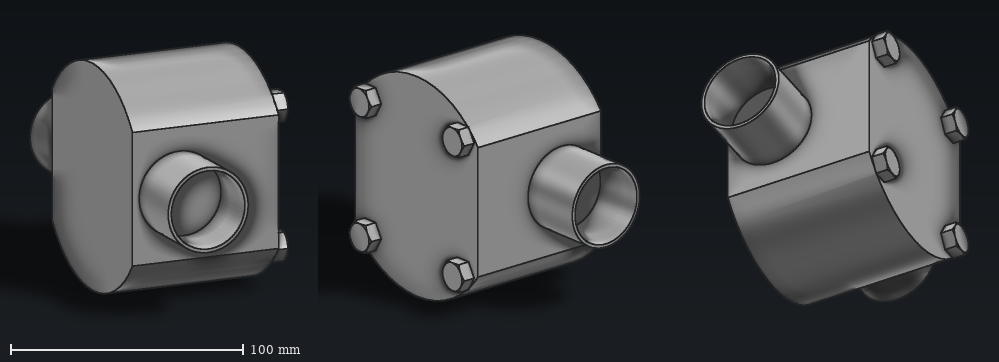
import cadquery as cq
import math

total_length = 141.2
body_width = 82.0
body_diameter = 101.4
front_depth = 44.6
cover_depth = 24.7
axis_to_front = 22.2
pipe_diameter = 38.0
bore_diameter = 34.9
stub_length = 5.1
bolt_offset = 31.0
bolt_across_flats = 12.9
bolt_head_height = 6.1
bolt_chamfer_angle = 30

front_y = -axis_to_front
cover_back_y = front_y + front_depth + cover_depth
bolt_across_corners = bolt_across_flats / math.cos(math.pi / 6)
bolt_chamfer_width = (bolt_across_corners - bolt_across_flats) / 2
bolt_chamfer_height = bolt_chamfer_width * math.tan(math.radians(bolt_chamfer_angle))
pipe_length = (total_length - body_width) / 2 - stub_length


def make_slice(start_y, depth):
    """Round disc along +Y, trimmed by two flats facing +X and -X."""
    plane = cq.Workplane("XZ", origin=(0, start_y, 0))
    disc = plane.circle(body_diameter / 2).extrude(-depth)
    trim = plane.rect(body_width, body_diameter * 2).extrude(-depth)
    return disc.intersect(trim)


def make_connection(side):
    """Solid stub on the body flat followed by an open pipe; side is +1 or -1."""
    face = cq.Workplane("YZ", origin=(side * body_width / 2, 0, 0))
    stub = face.circle(pipe_diameter / 2).extrude(side * stub_length)
    pipe = (
        face.workplane(offset=side * stub_length)
        .circle(pipe_diameter / 2)
        .circle(bore_diameter / 2)
        .extrude(side * pipe_length)
    )
    return stub.union(pipe)


def make_bolt_head(x, z):
    """Hexagonal head on the cover: two corners along X, outer corners cut by a cone."""
    seat = cq.Workplane("XZ", origin=(x, cover_back_y, z))
    head = seat.polygon(6, bolt_across_corners).extrude(-bolt_head_height)
    cone = (
        seat.circle(bolt_across_corners / 2)
        .extrude(-bolt_head_height)
        .faces(">Y")
        .chamfer(bolt_chamfer_height, bolt_chamfer_width)
    )
    return head.intersect(cone)


result = make_slice(front_y, front_depth).union(make_slice(front_y + front_depth, cover_depth))

for side in (-1, 1):
    result = result.union(make_connection(side))

for x in (-bolt_offset, bolt_offset):
    for z in (-bolt_offset, bolt_offset):
        result = result.union(make_bolt_head(x, z))